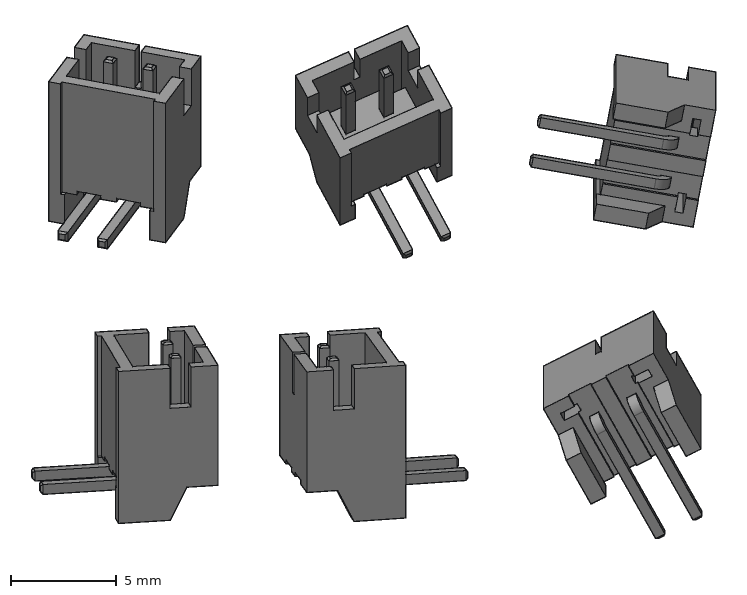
import cadquery as cq

WIDTH = 5.9
DEPTH = 4.8
HEIGHT = 7.6
WALL = 0.6
BASE_Z = 1.6
FLOOR_THICKNESS = 1.5
FRONT_RECESS = 0.2

FOOT_WIDTH = 0.8
FOOT_REAR_TOP = 1.5
FOOT_REAR_BOTTOM = 2.3

SLOT_DEPTH = 2.0
SIDE_SLOT_WIDTH = 1.0
SIDE_SLOT_START = 1.3
REAR_SLOT_WIDTH = 0.3

WINDOW_WIDTH = 0.9
WINDOW_DEPTH = 0.39

NOTCH_WIDTH = 1.205
NOTCH_HEIGHT = 0.2

PIN_SIZE = 0.5
PIN_PITCH = 2.0
PIN_SETBACK = 1.7
PIN_TIP_Y = -8.2
PIN_TOP_Z = HEIGHT
PIN_CHAMFER = 0.1
BEND_INNER_RADIUS = 0.25

INNER_WIDTH = WIDTH - 2 * WALL
FRONT_WALL_Y = -DEPTH + FRONT_RECESS
POCKET_FRONT_Y = FRONT_WALL_Y + WALL
FLOOR_Z = BASE_Z + FLOOR_THICKNESS
SLOT_Z = HEIGHT - SLOT_DEPTH
TAIL_Z = BASE_Z - PIN_SIZE / 2
BEND_RADIUS = BEND_INNER_RADIUS + PIN_SIZE / 2
PIN_POSITIONS = [-PIN_PITCH / 2, PIN_PITCH / 2]


def block(x_range, y_range, z_range):
    """Rectangular block between the given limits."""
    size = [high - low for low, high in (x_range, y_range, z_range)]
    corner = (x_range[0], y_range[0], z_range[0])
    return cq.Workplane("XY").box(*size, centered=False).translate(corner)


def centered(width, center=0.0):
    """Limits of a width centred on a position."""
    return (center - width / 2, center + width / 2)


def make_feet():
    """Side extensions below the shell, sloped at the rear."""
    profile = [
        (-FOOT_REAR_TOP, BASE_Z),
        (-FOOT_REAR_BOTTOM, 0),
        (-DEPTH, 0),
        (-DEPTH, BASE_Z),
    ]
    left = cq.Workplane("YZ").polyline(profile).close().extrude(FOOT_WIDTH).translate((-WIDTH / 2, 0, 0))
    return left.union(left.mirror("YZ"))


def make_pin(x):
    """Square pin with a vertical contact, a rounded bend and a forward tail."""
    path = (
        cq.Workplane("YZ")
        .moveTo(-PIN_SETBACK, PIN_TOP_Z)
        .lineTo(-PIN_SETBACK, TAIL_Z + BEND_RADIUS)
        .radiusArc((-PIN_SETBACK - BEND_RADIUS, TAIL_Z), BEND_RADIUS)
        .lineTo(PIN_TIP_Y, TAIL_Z)
    )
    section = cq.Workplane("XY", origin=(0, -PIN_SETBACK, PIN_TOP_Z)).rect(PIN_SIZE, PIN_SIZE)
    pin = section.sweep(path)
    pin = pin.faces(">Z").chamfer(PIN_CHAMFER)
    pin = pin.faces("<Y").chamfer(PIN_CHAMFER)
    return pin.translate((x, 0, 0))


def make_housing(pins):
    """Open-topped shell with feet, slots, floor windows and pin passages."""
    shell_z = (BASE_Z, HEIGHT)
    inner_x = centered(INNER_WIDTH)
    housing = block(centered(WIDTH), (-DEPTH, 0), shell_z)

    housing = housing.cut(block(inner_x, (-DEPTH, FRONT_WALL_Y), shell_z))
    housing = housing.cut(block(inner_x, (POCKET_FRONT_Y, -WALL), (FLOOR_Z, HEIGHT)))
    housing = housing.union(make_feet())

    side_slot_y = (-SIDE_SLOT_START - SIDE_SLOT_WIDTH, -SIDE_SLOT_START)
    housing = housing.cut(block(centered(WIDTH), side_slot_y, (SLOT_Z, HEIGHT)))
    housing = housing.cut(block(centered(REAR_SLOT_WIDTH), (-WALL, 0), (SLOT_Z, HEIGHT)))

    for side in (-1, 1):
        window_x = centered(WINDOW_WIDTH, side * (INNER_WIDTH - WINDOW_WIDTH) / 2)
        housing = housing.cut(block(window_x, (-WALL - WINDOW_DEPTH, -WALL), (BASE_Z, FLOOR_Z)))

    for x in PIN_POSITIONS:
        notch_z = (BASE_Z, BASE_Z + NOTCH_HEIGHT)
        housing = housing.cut(block(centered(NOTCH_WIDTH, x), (-DEPTH, 0), notch_z))

    for pin in pins:
        housing = housing.cut(pin)
    return housing


pins = [make_pin(x) for x in PIN_POSITIONS]
housing = make_housing(pins)

result = cq.Compound.makeCompound([housing.val(), *[pin.val() for pin in pins]])